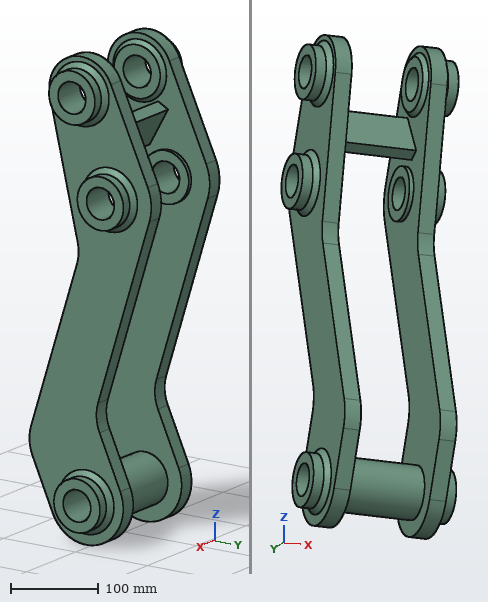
import cadquery as cq
import math

BOTTOM_PIN = (0.0, 0.0)
MIDDLE_PIN = (32.5, 366.5)
TOP_PIN = (-7.0, 486.5)
PINS = (BOTTOM_PIN, MIDDLE_PIN, TOP_PIN)

OVERALL_WIDTH = 178.0
PLATE_THICKNESS = 20.5
BOSS_PROJECTION = 19.0
PLATE_OUTER_X = OVERALL_WIDTH / 2 - BOSS_PROJECTION
PLATE_INNER_X = PLATE_OUTER_X - PLATE_THICKNESS
BOTTOM_RADIUS = 51.0
MIDDLE_RADIUS = 57.5
TOP_RADIUS = 45.0
ARM_WIDTH = 76.5
ARM_LEAN = 17.4
FOOT_LEAN = 23.7
HEAD_LEAN = 12.9
CORNER_RADIUS = 50.0

BOSS_RADIUS = 32.0
BORE_RADIUS = 19.0
COLLAR_SIZE = 6.5
INNER_PROJECTION = 5.0

BAR_DEPTH = 52.5
BAR_THICKNESS = 16.0
BAR_LEAN = 29.1
BAR_TOP_EDGE = (18.5, 454.0)


def point_on_circle(center, radius, degrees):
    angle = math.radians(degrees)
    return center[0] + radius * math.cos(angle), center[1] + radius * math.sin(angle)


def edge_distance(center, radius, normal):
    """Distance from the origin of the tangent whose outward normal has this angle."""
    angle = math.radians(normal)
    return center[0] * math.cos(angle) + center[1] * math.sin(angle) + radius


def corner(normal_a, distance_a, normal_b, distance_b):
    """Crossing point of two lines, each given by normal angle and distance."""
    a = math.radians(normal_a)
    b = math.radians(normal_b)
    spread = math.sin(b - a)
    y = (distance_a * math.sin(b) - distance_b * math.sin(a)) / spread
    z = (distance_b * math.cos(a) - distance_a * math.cos(b)) / spread
    return y, z


def make_plate(start_x):
    arm_rear = -ARM_LEAN
    arm_front = 180 - ARM_LEAN
    foot_rear = FOOT_LEAN
    foot_front = 180 + FOOT_LEAN
    head_front = 180 + HEAD_LEAN
    rise_y = TOP_PIN[0] - MIDDLE_PIN[0]
    rise_z = TOP_PIN[1] - MIDDLE_PIN[1]
    head_rear = math.degrees(
        math.atan2(rise_z, rise_y)
        - math.acos((MIDDLE_RADIUS - TOP_RADIUS) / math.hypot(rise_y, rise_z))
    )

    arm_rear_distance = edge_distance(MIDDLE_PIN, MIDDLE_RADIUS, arm_rear)
    arm_front_distance = ARM_WIDTH - arm_rear_distance
    foot_distance = BOTTOM_RADIUS
    head_front_distance = edge_distance(TOP_PIN, TOP_RADIUS, head_front)
    rear_corner = corner(arm_rear, arm_rear_distance, foot_rear, foot_distance)
    foot_corner = corner(arm_front, arm_front_distance, foot_front, foot_distance)
    head_corner = corner(arm_front, arm_front_distance, head_front, head_front_distance)

    def top(degrees):
        return point_on_circle(TOP_PIN, TOP_RADIUS, degrees)

    def middle(degrees):
        return point_on_circle(MIDDLE_PIN, MIDDLE_RADIUS, degrees)

    def bottom(degrees):
        return point_on_circle(BOTTOM_PIN, BOTTOM_RADIUS, degrees)

    plate = (
        cq.Workplane("YZ", origin=(start_x, 0, 0))
        .moveTo(*top(head_front))
        .threePointArc(top(90), top(head_rear))
        .lineTo(*middle(head_rear))
        .threePointArc(middle(0), middle(arm_rear))
        .lineTo(*rear_corner)
        .lineTo(*bottom(foot_rear))
        .threePointArc(bottom(-90), bottom(foot_front))
        .lineTo(*foot_corner)
        .lineTo(*head_corner)
        .close()
        .extrude(PLATE_THICKNESS)
    )
    middle_x = start_x + PLATE_THICKNESS / 2
    for y, z in (rear_corner, foot_corner, head_corner):
        nearest = cq.selectors.NearestToPointSelector((middle_x, y, z))
        plate = plate.edges(nearest).fillet(CORNER_RADIUS)
    return plate


def cylinder(center, radius, start_x, end_x):
    return cq.Workplane("YZ", origin=(start_x, 0, 0)).center(*center).circle(radius).extrude(end_x - start_x)


def make_collar(center, face_x, direction, length):
    """45 degree weld cone that narrows from a plate face down to the boss."""
    cone = cq.Solid.makeCone(
        BOSS_RADIUS + length,
        BOSS_RADIUS,
        length,
        pnt=cq.Vector(face_x, *center),
        dir=cq.Vector(direction, 0, 0),
    )
    return cq.Workplane(cone)


def make_cross_bar():
    return (
        cq.Workplane("YZ", origin=(-PLATE_INNER_X, *BAR_TOP_EDGE))
        .transformed(rotate=(0, 0, -BAR_LEAN))
        .rect(BAR_THICKNESS, -BAR_DEPTH, centered=False)
        .extrude(2 * PLATE_INNER_X)
    )


body = make_plate(-PLATE_OUTER_X).union(make_plate(PLATE_INNER_X))
body = body.union(make_cross_bar())

body = body.union(cylinder(BOTTOM_PIN, BOSS_RADIUS, -OVERALL_WIDTH / 2, OVERALL_WIDTH / 2))

boss_inner_x = PLATE_INNER_X - INNER_PROJECTION
for pin in (MIDDLE_PIN, TOP_PIN):
    body = body.union(cylinder(pin, BOSS_RADIUS, -OVERALL_WIDTH / 2, -boss_inner_x))
    body = body.union(cylinder(pin, BOSS_RADIUS, boss_inner_x, OVERALL_WIDTH / 2))

for side in (-1, 1):
    for pin in PINS:
        body = body.union(make_collar(pin, side * PLATE_OUTER_X, side, COLLAR_SIZE))
    body = body.union(make_collar(TOP_PIN, side * PLATE_INNER_X, -side, INNER_PROJECTION))

for pin in PINS:
    body = body.cut(cylinder(pin, BORE_RADIUS, -OVERALL_WIDTH / 2, OVERALL_WIDTH / 2))

result = body